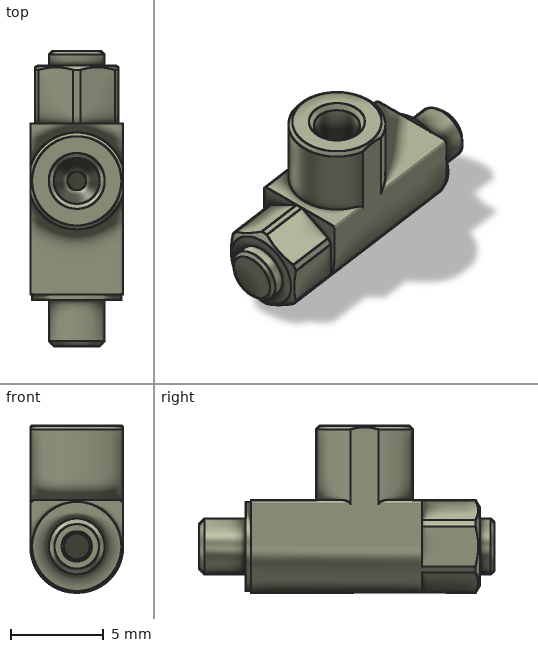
import cadquery as cq
import math


body_width = 5.0
body_radius = body_width / 2
body_front = -6.1
body_back = 3.1
body_edge_radius = 0.2

collar_diameter = 4.8
collar_front = -6.39
pipe_diameter = 3.0
spigot_front = -8.9
spigot_chamfer = 0.3

nut_flats = 4.5
nut_back = 6.2
nut_end_diameter = 4.2
nut_bevel_angle = 30
nipple_back = 7.0
nipple_chamfer = 0.2

branch_diameter = 5.22
branch_top = 6.5
branch_chamfer = (branch_diameter - collar_diameter) / 2

branch_bore_diameter = 2.46
branch_bore_bottom = 2.5
throat_diameter = 1.0
bore_floor_slope = 30
spigot_bore_diameter = 1.4
spigot_mouth_diameter = 1.62
spigot_bore_end = 1.5


def run_cylinder(diameter, y_start, y_end):
    """Cylinder along the run axis between two Y positions."""
    plane = cq.Workplane("XZ", origin=(0, y_start, 0))
    return plane.circle(diameter / 2).extrude(y_start - y_end)


def make_body():
    """Bar with a flat top, flat sides and a half-round underside."""
    profile = (
        cq.Workplane("XZ", origin=(0, body_front, 0))
        .moveTo(-body_radius, 0)
        .lineTo(-body_radius, body_radius)
        .lineTo(body_radius, body_radius)
        .lineTo(body_radius, 0)
        .threePointArc((0, -body_radius), (-body_radius, 0))
        .close()
    )
    bar = profile.extrude(body_front - body_back)
    return bar.edges("|Y and >Z").fillet(body_edge_radius)


def make_branch():
    """Chamfered upright cylinder, flattened flush with the body sides."""
    cylinder = cq.Workplane("XY").circle(branch_diameter / 2).extrude(branch_top)
    cylinder = cylinder.faces(">Z").chamfer(branch_chamfer)
    side_limit = cq.Workplane("XY").rect(body_width, 2 * branch_diameter).extrude(branch_top)
    return cylinder.intersect(side_limit)


def make_nut():
    """Hexagon with corners up and down, rounded corners and a bevelled end."""
    hexagon = (
        cq.Workplane("XZ", origin=(0, body_back, 0))
        .transformed(rotate=(0, 0, 90))
        .polygon(6, nut_flats / math.cos(math.radians(30)))
        .extrude(body_back - nut_back)
    )
    end_radius = nut_end_diameter / 2
    bevel_length = (body_radius - end_radius) * math.tan(math.radians(nut_bevel_angle))
    envelope = (
        cq.Workplane("XY")
        .moveTo(0, body_back)
        .lineTo(body_radius, body_back)
        .lineTo(body_radius, nut_back - bevel_length)
        .lineTo(end_radius, nut_back)
        .lineTo(0, nut_back)
        .close()
        .revolve(360, (0, 0, 0), (0, 1, 0))
    )
    return hexagon.intersect(envelope)


def make_branch_bore():
    """Bore with a countersunk mouth and a conical floor leading to a throat."""
    mouth_radius = pipe_diameter / 2
    bore_radius = branch_bore_diameter / 2
    throat_radius = throat_diameter / 2
    floor_depth = (bore_radius - throat_radius) * math.tan(math.radians(bore_floor_slope))
    return (
        cq.Workplane("XZ")
        .lineTo(throat_radius, 0)
        .lineTo(throat_radius, branch_bore_bottom - floor_depth)
        .lineTo(bore_radius, branch_bore_bottom)
        .lineTo(bore_radius, branch_top - (mouth_radius - bore_radius))
        .lineTo(mouth_radius, branch_top)
        .lineTo(0, branch_top)
        .close()
        .revolve(360, (0, 0, 0), (0, 1, 0))
    )


def make_spigot_bore():
    """Blind bore along the run with a small countersink at the spigot tip."""
    mouth_radius = spigot_mouth_diameter / 2
    bore_radius = spigot_bore_diameter / 2
    return (
        cq.Workplane("XY")
        .moveTo(0, spigot_front)
        .lineTo(mouth_radius, spigot_front)
        .lineTo(bore_radius, spigot_front + mouth_radius - bore_radius)
        .lineTo(bore_radius, spigot_bore_end)
        .lineTo(0, spigot_bore_end)
        .close()
        .revolve(360, (0, 0, 0), (0, 1, 0))
    )


collar = run_cylinder(collar_diameter, collar_front, body_front)
spigot = run_cylinder(pipe_diameter, spigot_front, collar_front).faces("<Y").chamfer(spigot_chamfer)
nipple = run_cylinder(pipe_diameter, nut_back, nipple_back).faces(">Y").chamfer(nipple_chamfer)

result = make_body()
for piece in (make_branch(), collar, spigot, make_nut(), nipple):
    result = result.union(piece)
result = result.cut(make_branch_bore()).cut(make_spigot_bore())